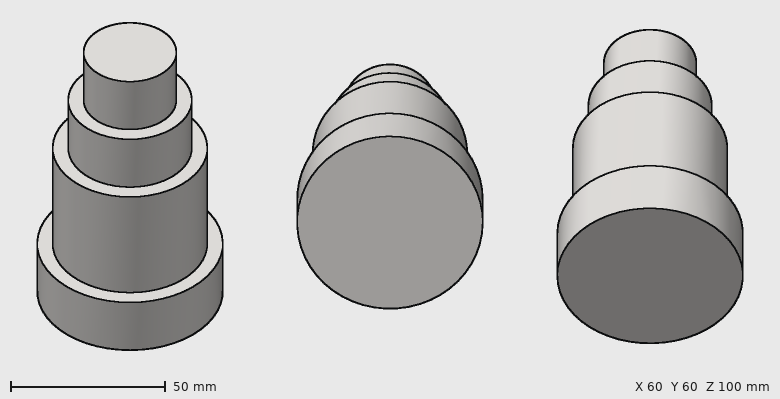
import cadquery as cq

step_height = 20
base_diameter = 60
diameter_drop = 10

heights = [step_height, 2 * step_height, step_height, step_height]

result = cq.Workplane("XY").circle(base_diameter / 2).extrude(heights[0])
for level, height in enumerate(heights[1:], start=1):
    diameter = base_diameter - level * diameter_drop
    result = result.faces(">Z").workplane().circle(diameter / 2).extrude(height)